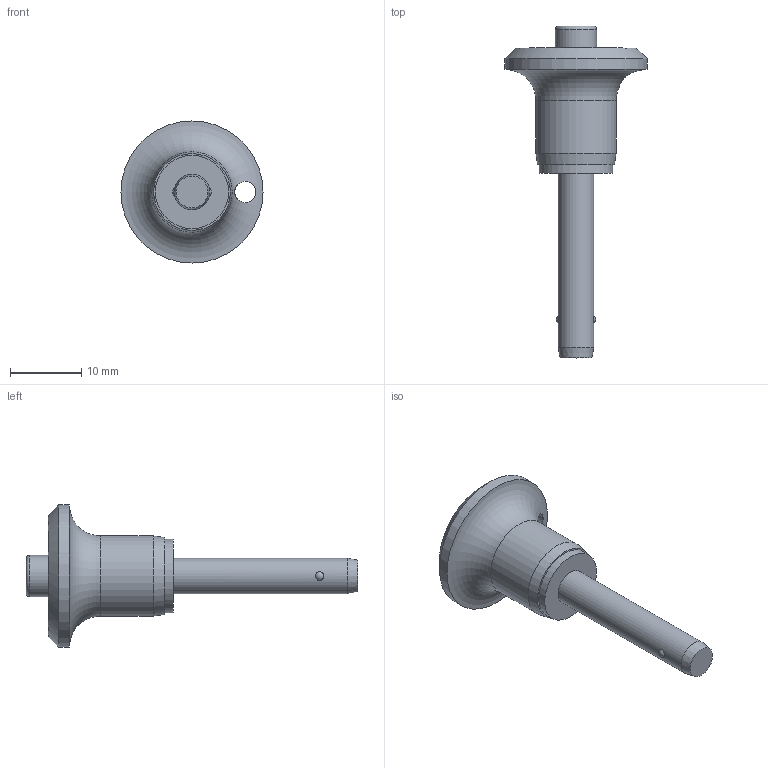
import cadquery as cq
import math


pin_radius = 2.5
pin_length = 26.0
nose_length = 1.5
nose_tip_radius = 2.25

ball_tip_to_tip = 5.5
ball_radius = 0.75
ball_from_pin_tip = 5.4

collar_radius = 5.15
collar_length = 1.2
grip_radius = 5.65
grip_end_radius = 5.4
grip_taper_length = 1.6
rim_radius = 10.0
rim_band_width = 1.5
rim_chamfer = 1.5
handle_length = 17.6
flare_radius = rim_radius - grip_radius

lanyard_hole_radius = 1.5
lanyard_hole_offset = 7.5

button_radius = 2.9
button_height = 3.1
button_rounding = 0.5


def revolve_about_y(profile):
    return profile.close().revolve(360, (0, 0, 0), (0, 1, 0))


def make_pin():
    profile = (
        cq.Workplane("XY")
        .lineTo(pin_radius, 0)
        .lineTo(pin_radius, nose_length - pin_length)
        .lineTo(nose_tip_radius, -pin_length)
        .lineTo(0, -pin_length)
    )
    return revolve_about_y(profile)


def make_handle():
    band_start = handle_length - rim_chamfer - rim_band_width
    flare_start = band_start - flare_radius
    flare_mid = (
        rim_radius - flare_radius * math.cos(math.pi / 4),
        flare_start + flare_radius * math.sin(math.pi / 4),
    )
    profile = (
        cq.Workplane("XY")
        .lineTo(collar_radius, 0)
        .lineTo(collar_radius, collar_length)
        .lineTo(grip_end_radius, collar_length)
        .lineTo(grip_radius, collar_length + grip_taper_length)
        .lineTo(grip_radius, flare_start)
        .threePointArc(flare_mid, (rim_radius, band_start))
        .lineTo(rim_radius, band_start + rim_band_width)
        .lineTo(rim_radius - rim_chamfer, handle_length)
        .lineTo(0, handle_length)
    )
    return revolve_about_y(profile)


def make_button():
    button_top = handle_length + button_height
    profile = (
        cq.Workplane("XY")
        .moveTo(0, handle_length)
        .lineTo(button_radius, handle_length)
        .lineTo(button_radius, button_top - button_rounding)
        .tangentArcPoint((button_radius - button_rounding, button_top), relative=False)
        .lineTo(0, button_top)
    )
    return revolve_about_y(profile)


def make_ball(side):
    ball_center_x = side * (ball_tip_to_tip / 2 - ball_radius)
    ball_center_y = ball_from_pin_tip - pin_length
    return cq.Workplane("XY").sphere(ball_radius).translate((ball_center_x, ball_center_y, 0))


def make_lanyard_hole():
    return (
        cq.Workplane("XZ")
        .center(lanyard_hole_offset, 0)
        .circle(lanyard_hole_radius)
        .extrude(-handle_length)
    )


result = make_handle().cut(make_lanyard_hole()).union(make_pin()).union(make_button())
for side in (-1, 1):
    result = result.union(make_ball(side))